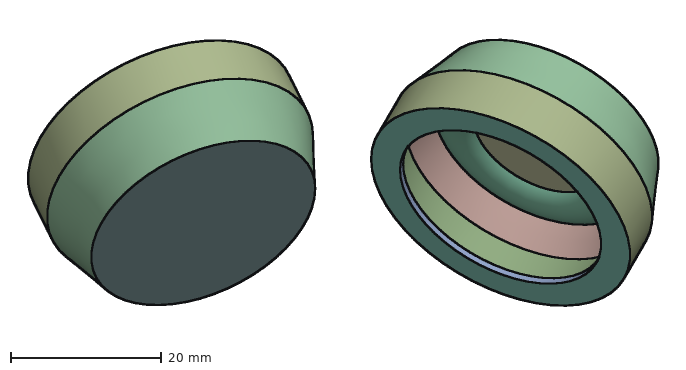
import cadquery as cq

length = 15.5
band_length = 7.0
outer_diameter = 38.0
end_diameter = 32.0
flank_sag = 0.05

mouth_diameter = 29.5
lip_thickness = 1.0
cavity_diameter = 34.0
straight_bore_end = 6.65

floor_diameter = 18.7
floor_depth = 11.7
bead_outer_diameter = 30.8
bead_height = 1.8

outer_radius = outer_diameter / 2
end_radius = end_diameter / 2
mouth_radius = mouth_diameter / 2
cavity_radius = cavity_diameter / 2
floor_radius = floor_diameter / 2
bead_outer_radius = bead_outer_diameter / 2

flank_middle = ((band_length + length) / 2, (outer_radius + end_radius) / 2 - flank_sag)
bead_crest = (floor_depth - bead_height, (floor_radius + bead_outer_radius) / 2)


def cup_body():
    """Solid body: a cylindrical band, then a slightly hollow flank tapering to the closed end."""
    outline = (
        cq.Workplane("XY")
        .lineTo(0, outer_radius)
        .lineTo(band_length, outer_radius)
        .threePointArc(flank_middle, (length, end_radius))
        .lineTo(length, 0)
        .close()
    )
    return outline.revolve(360, (0, 0, 0), (1, 0, 0))


def cavity():
    """Space inside the cup: lip opening, wider bore, tapered wall, rounded ring bead and flat floor."""
    outline = (
        cq.Workplane("XY")
        .lineTo(0, mouth_radius)
        .lineTo(lip_thickness, mouth_radius)
        .lineTo(lip_thickness, cavity_radius)
        .lineTo(straight_bore_end, cavity_radius)
        .lineTo(floor_depth, bead_outer_radius)
        .threePointArc(bead_crest, (floor_depth, floor_radius))
        .lineTo(floor_depth, 0)
        .close()
    )
    return outline.revolve(360, (0, 0, 0), (1, 0, 0))


result = cup_body().cut(cavity())